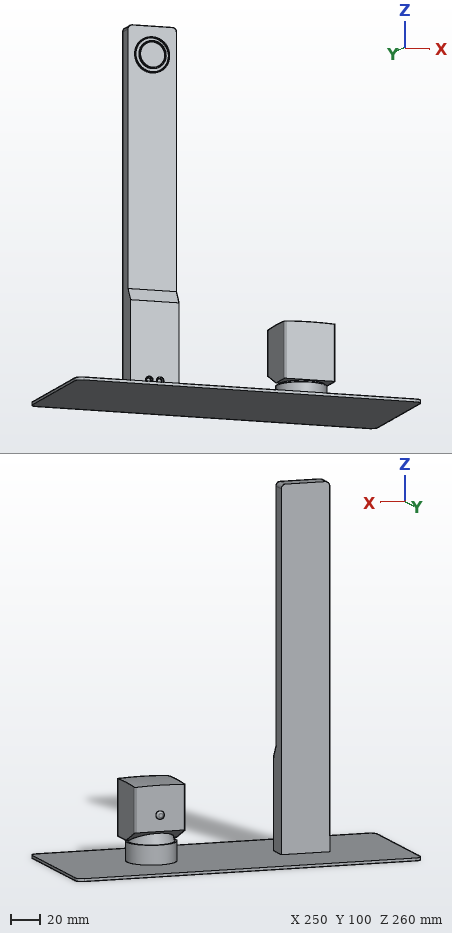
import cadquery as cq

PLATE_LENGTH = 250.0
PLATE_WIDTH = 100.0
PLATE_THICKNESS = 2.0
PLATE_CORNER_RADIUS = 5.0

TOTAL_HEIGHT = 260.0
SPOUT_X = -54.5
SPOUT_WIDTH = 35.0
SPOUT_BACK_Y = 8.3
SPOUT_FOOT_DEPTH = 17.0
SPOUT_STEM_DEPTH = 11.5
STEP_BOTTOM_Z = 66.8
STEP_TOP_Z = 75.7
SPOUT_TOP_RADIUS = 3.0

OUTLET_Z = 240.0
OUTLET_DIAMETER = 25.2
OUTLET_RING_DIAMETER = 23.7
OUTLET_GROOVE_DEPTH = 0.8
OUTLET_DISC_DIAMETER = 19.5
OUTLET_DISC_HEIGHT = 1.0
OUTLET_FACE_DIAMETER = 17.7
OUTLET_FACE_DEPTH = 0.8

SMALL_HOLE_Z = 11.7
SMALL_HOLE_SPACING = 7.8
SMALL_HOLE_DIAMETER = 3.5
SMALL_HOLE_DEPTH = 2.5
SMALL_COUNTERBORE_DIAMETER = 5.2
SMALL_COUNTERBORE_DEPTH = 1.0

MIXER_X = 54.3
PEDESTAL_DIAMETER = 35.4
PEDESTAL_TOP_Z = 15.9

LEVER_SIDE = 36.7
LEVER_TOP_Z = 58.2
LEVER_BOTTOM_Z = 17.2
LEVER_BACK_BOTTOM_Z = 25.5
LEVER_EDGE_RADIUS = 1.0
LEVER_DOME_RADIUS = 312.0
NECK_BOTTOM_DIAMETER = 32.5
NECK_TOP_DIAMETER = 26.0

BUTTON_Z = 37.0
BUTTON_DIAMETER = 6.0
BUTTON_HEIGHT = 1.8
BUTTON_EDGE_RADIUS = 1.5

SPOUT_FOOT_FRONT_Y = SPOUT_BACK_Y - SPOUT_FOOT_DEPTH
SPOUT_STEM_FRONT_Y = SPOUT_BACK_Y - SPOUT_STEM_DEPTH


def cylinder_along_y(x, y, z, diameter, length):
    """Cylinder that starts at the given centre and runs towards +Y."""
    return cq.Workplane(
        cq.Solid.makeCylinder(diameter / 2, length, cq.Vector(x, y, z), cq.Vector(0, 1, 0))
    )


def make_plate():
    return (
        cq.Workplane("XY")
        .box(PLATE_LENGTH, PLATE_WIDTH, PLATE_THICKNESS, centered=(True, True, False))
        .edges("|Z")
        .fillet(PLATE_CORNER_RADIUS)
    )


def add_outlet(spout):
    """Cut the outlet groove into the spout and add the raised disc inside it."""
    centre = (SPOUT_X, SPOUT_STEM_FRONT_Y, OUTLET_Z)
    groove = cylinder_along_y(*centre, OUTLET_DIAMETER, OUTLET_GROOVE_DEPTH).cut(
        cylinder_along_y(*centre, OUTLET_RING_DIAMETER, OUTLET_GROOVE_DEPTH)
    )
    disc_front_y = SPOUT_STEM_FRONT_Y - OUTLET_DISC_HEIGHT
    disc = cylinder_along_y(SPOUT_X, disc_front_y, OUTLET_Z, OUTLET_DISC_DIAMETER, OUTLET_DISC_HEIGHT)
    face = cylinder_along_y(SPOUT_X, disc_front_y, OUTLET_Z, OUTLET_FACE_DIAMETER, OUTLET_FACE_DEPTH)
    return spout.cut(groove).union(disc.cut(face))


def cut_small_holes(spout):
    for side in (-1, 1):
        centre = (SPOUT_X + side * SMALL_HOLE_SPACING / 2, SPOUT_FOOT_FRONT_Y, SMALL_HOLE_Z)
        spout = spout.cut(cylinder_along_y(*centre, SMALL_COUNTERBORE_DIAMETER, SMALL_COUNTERBORE_DEPTH))
        spout = spout.cut(cylinder_along_y(*centre, SMALL_HOLE_DIAMETER, SMALL_HOLE_DEPTH))
    return spout


def make_spout():
    side_outline = [
        (SPOUT_BACK_Y, PLATE_THICKNESS),
        (SPOUT_BACK_Y, TOTAL_HEIGHT),
        (SPOUT_STEM_FRONT_Y, TOTAL_HEIGHT),
        (SPOUT_STEM_FRONT_Y, STEP_TOP_Z),
        (SPOUT_FOOT_FRONT_Y, STEP_BOTTOM_Z),
        (SPOUT_FOOT_FRONT_Y, PLATE_THICKNESS),
    ]
    spout = (
        cq.Workplane("YZ", origin=(SPOUT_X, 0, 0))
        .polyline(side_outline)
        .close()
        .extrude(SPOUT_WIDTH / 2, both=True)
    )
    spout = spout.faces(">Z").edges("|Y").fillet(SPOUT_TOP_RADIUS)
    return cut_small_holes(add_outlet(spout))


def make_pedestal():
    return (
        cq.Workplane("XY", origin=(MIXER_X, 0, PLATE_THICKNESS))
        .circle(PEDESTAL_DIAMETER / 2)
        .extrude(PEDESTAL_TOP_Z - PLATE_THICKNESS)
    )


def make_fixture():
    """Deck plate, spout and pedestal as one solid."""
    return make_plate().union(make_spout()).union(make_pedestal())


def make_lever():
    """Lever block with a slightly domed top, its neck and its button as one solid."""
    half_side = LEVER_SIDE / 2
    side_outline = [
        (-half_side, LEVER_BOTTOM_Z),
        (0, LEVER_BOTTOM_Z),
        (half_side, LEVER_BACK_BOTTOM_Z),
        (half_side, LEVER_TOP_Z),
        (-half_side, LEVER_TOP_Z),
    ]
    block = (
        cq.Workplane("YZ", origin=(MIXER_X, 0, 0))
        .polyline(side_outline)
        .close()
        .extrude(half_side, both=True)
        .edges("|Z")
        .fillet(LEVER_EDGE_RADIUS)
    )
    dome_centre = (MIXER_X, 0, LEVER_TOP_Z - LEVER_DOME_RADIUS)
    dome = cq.Workplane("XY", origin=dome_centre).sphere(LEVER_DOME_RADIUS)
    block = block.intersect(dome)

    neck = (
        cq.Workplane("XY", origin=(MIXER_X, 0, PEDESTAL_TOP_Z))
        .circle(NECK_BOTTOM_DIAMETER / 2)
        .workplane(offset=LEVER_BACK_BOTTOM_Z - PEDESTAL_TOP_Z)
        .circle(NECK_TOP_DIAMETER / 2)
        .loft()
    )
    button = cylinder_along_y(MIXER_X, half_side, BUTTON_Z, BUTTON_DIAMETER, BUTTON_HEIGHT)
    button = button.faces(">Y").edges().fillet(BUTTON_EDGE_RADIUS)
    return block.union(neck).union(button)


fixture = make_fixture()
lever = make_lever()

result = cq.Compound.makeCompound([fixture.val(), lever.val()])